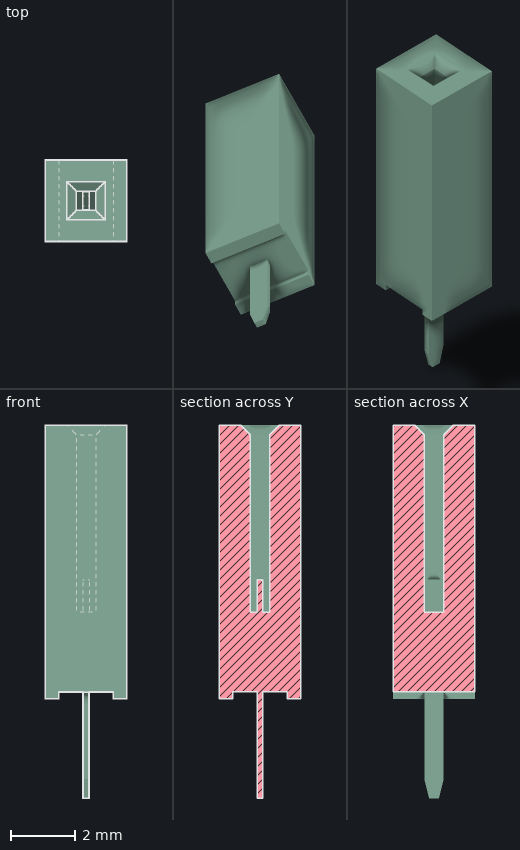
import cadquery as cq

total_height = 11.6
body_width = 2.54
pin_length_below_body = 3.1
body_height = total_height - pin_length_below_body

foot_width = 0.43
channel_depth = 0.21
channel_width = body_width - 2 * foot_width

socket_width = 0.6
mouth_width = 1.2
lead_in_depth = (mouth_width - socket_width) / 2
socket_depth = 5.8
socket_floor = total_height - socket_depth

pin_thickness = 0.2
pin_width = 0.6
tip_width = 0.3
taper_length = 0.6

blade_width = 0.55
blade_height = 1.0


def square_prism(width, base, height):
    return cq.Workplane("XY", origin=(0, 0, base)).rect(width, width).extrude(height)


def make_body():
    return square_prism(body_width, pin_length_below_body, body_height)


def make_channel():
    underside = cq.Workplane("XY", origin=(0, 0, pin_length_below_body))
    return underside.rect(channel_width, body_width).extrude(channel_depth)


def make_socket():
    bore = square_prism(socket_width, socket_floor, socket_depth)
    lead_in = (
        cq.Workplane("XY", origin=(0, 0, total_height))
        .rect(mouth_width, mouth_width)
        .workplane(offset=-lead_in_depth)
        .rect(socket_width, socket_width)
        .loft(ruled=True)
    )
    return bore.union(lead_in)


def make_pin():
    half_outline = [
        (0, 0),
        (tip_width / 2, 0),
        (pin_width / 2, taper_length),
        (pin_width / 2, socket_floor),
        (blade_width / 2, socket_floor),
        (blade_width / 2, socket_floor + blade_height),
        (0, socket_floor + blade_height),
    ]
    half_pin = cq.Workplane("YZ").polyline(half_outline).close().extrude(pin_thickness / 2, both=True)
    return half_pin.union(half_pin.mirror("XZ"))


result = make_body().cut(make_channel()).cut(make_socket()).union(make_pin())